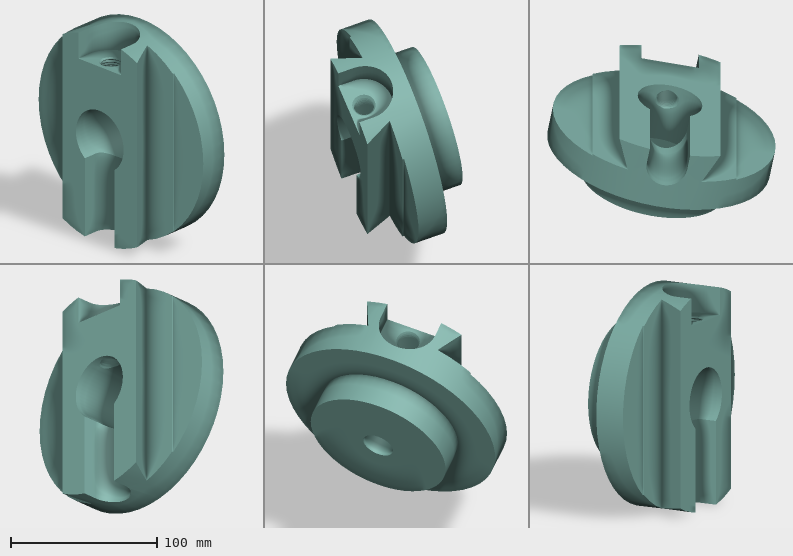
import cadquery as cq
import math

disc_diameter = 155.0
disc_thickness = 21.0
hub_diameter = 100.0
hub_height = 22.0
pad_width = hub_diameter
pad_height = 1.1

rail_width = 70.0
rail_height = 20.0
rail_flank_angle = 25.0

bore_diameter = 22.0
counterbore_diameter = 45.0
counterbore_depth = rail_height + pad_height + disc_thickness

channel_axis_depth = 11.0
groove_width = 28.0
pocket_width = 40.0
pocket_length = 22.0

thread_major_diameter = 16.0
thread_minor_diameter = 14.0
thread_pitch = 2.0

pad_y = rail_height
disc_front_y = pad_y + pad_height
disc_back_y = disc_front_y + disc_thickness
hub_back_y = disc_back_y + hub_height
disc_radius = disc_diameter / 2


def cylinder_y(diameter, y_start, y_end):
    """Cylinder on the Y axis between two Y positions."""
    return cq.Workplane("XZ", origin=(0, y_start, 0)).circle(diameter / 2).extrude(y_start - y_end)


def channel(width, z_start, z_end):
    """Round-bottomed channel along Z, open at the rail face."""
    half = width / 2
    return (
        cq.Workplane("XY", origin=(0, 0, z_start))
        .moveTo(-half, 0)
        .lineTo(-half, channel_axis_depth)
        .threePointArc((0, channel_axis_depth + half), (half, channel_axis_depth))
        .lineTo(half, 0)
        .close()
        .extrude(z_end - z_start)
    )


def rail_and_pad():
    """Dovetail rail and pad, extruded along Z and trimmed to the disc outline."""
    tip = rail_width / 2
    root = tip - rail_height * math.tan(math.radians(rail_flank_angle))
    half_pad = pad_width / 2
    outline = [
        (-tip, 0),
        (tip, 0),
        (root, pad_y),
        (half_pad, pad_y),
        (half_pad, disc_front_y),
        (-half_pad, disc_front_y),
        (-half_pad, pad_y),
        (-root, pad_y),
    ]
    bar = cq.Workplane("XY").polyline(outline).close().extrude(disc_radius, both=True)
    return bar.intersect(cylinder_y(disc_diameter, 0, disc_front_y))


def threaded_hole(z_start, z_end):
    """Hole along Z with its thread represented by V-shaped rings."""
    minor = thread_minor_diameter / 2
    major = thread_major_diameter / 2
    ring_count = math.floor((z_end - z_start) / thread_pitch)
    profile = cq.Workplane("XZ", origin=(0, channel_axis_depth, 0)).moveTo(0, z_end).lineTo(major, z_end)
    for ring in range(ring_count):
        ring_top = z_end - ring * thread_pitch
        profile = profile.lineTo(minor, ring_top - thread_pitch / 2)
        profile = profile.lineTo(major, ring_top - thread_pitch)
    return profile.lineTo(minor, z_start).lineTo(0, z_start).close().revolve(360, (0, 0), (0, 1))


body = cylinder_y(disc_diameter, disc_front_y, disc_back_y)
body = body.union(cylinder_y(hub_diameter, disc_back_y, hub_back_y))
body = body.union(rail_and_pad())

body = body.cut(cylinder_y(bore_diameter, 0, hub_back_y))
body = body.cut(cylinder_y(counterbore_diameter, 0, counterbore_depth))

pocket_floor_z = disc_radius - pocket_length
body = body.cut(channel(groove_width, -disc_radius, 0))
body = body.cut(channel(pocket_width, pocket_floor_z, disc_radius))
result = body.cut(threaded_hole(0, pocket_floor_z))